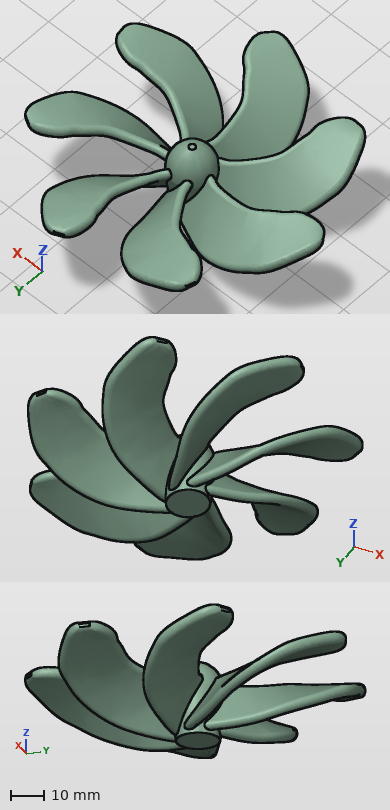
import cadquery as cq

HUB_HEIGHT = 25.1
HUB_BASE_RADIUS = 6.7
HUB_MAX_RADIUS = 8.2
HUB_MAX_RADIUS_Z = 15.4
HUB_TOP_RADIUS = 1.1
HUB_DOME_POINT = (5.4, 22.3)
HUB_FLANK_POINT = (7.5, 6.2)

BLADE_COUNT = 7

BLADE_STATIONS = [
    ((0.6, -5.3, 16.8), (-5.3, -1.5, 2.8), 3.1),
    ((0.6, -9.7, 16.7), (-8.0, -9.5, 3.2), 3.1),
    ((0.6, -14.8, 16.8), (-10.1, -17.8, 4.6), 3.1),
    ((1.6, -22.1, 17.6), (-11.3, -25.5, 7.2), 3.3),
    ((4.0, -28.7, 19.2), (-9.4, -35.4, 11.3), 3.5),
    ((7.8, -33.4, 20.5), (-6.0, -41.6, 14.8), 3.7),
    ((10.9, -36.9, 21.5), (0.2, -46.7, 18.2), 3.9),
    ((13.6, -40.3, 22.2), (6.5, -48.9, 20.7), 3.9),
    ((15.2, -44.8, 22.4), (10.7, -49.9, 21.9), 3.7),
    ((15.6, -46.9, 22.4), (12.9, -50.0, 22.3), 2.5),
    ((15.6, -47.8, 22.4), (13.8, -49.7, 22.3), 1.0),
]


def make_hub():
    """Flat base, bulging flank, domed nose and a small flat on top."""
    return (
        cq.Workplane("XZ")
        .lineTo(HUB_BASE_RADIUS, 0)
        .threePointArc(HUB_FLANK_POINT, (HUB_MAX_RADIUS, HUB_MAX_RADIUS_Z))
        .threePointArc(HUB_DOME_POINT, (HUB_TOP_RADIUS, HUB_HEIGHT))
        .lineTo(0, HUB_HEIGHT)
        .close()
        .revolve()
    )


def station_plane(upper, lower, span):
    """Plane across the blade: X along the chord, Y through the thickness, Z outward."""
    chord = upper - lower
    thickness_direction = span.cross(chord)
    return cq.Plane(origin=(upper + lower) * 0.5, xDir=chord, normal=chord.cross(thickness_direction))


def make_blade(hub):
    """Loft of slot-shaped sections that thin out at the tip, cut where it meets the hub."""
    edges = [(cq.Vector(*upper), cq.Vector(*lower)) for upper, lower, _ in BLADE_STATIONS]
    middles = [(upper + lower) * 0.5 for upper, lower in edges]
    last = len(edges) - 1
    sections = []
    for i, (upper, lower) in enumerate(edges):
        thickness = BLADE_STATIONS[i][2]
        span = middles[min(i + 1, last)] - middles[max(i - 1, 0)]
        plane = station_plane(upper, lower, span)
        length = (upper - lower).Length + thickness
        sections.append(cq.Workplane(plane).slot2D(length, thickness).wires().val())
    return cq.Workplane(cq.Solid.makeLoft(sections)).cut(hub)


hub = make_hub()
blade = make_blade(hub)
blade_pitch = 360 / BLADE_COUNT
blades = [blade.rotate((0, 0, 0), (0, 0, 1), i * blade_pitch).val() for i in range(BLADE_COUNT)]
result = cq.Compound.makeCompound([hub.val(), *blades])